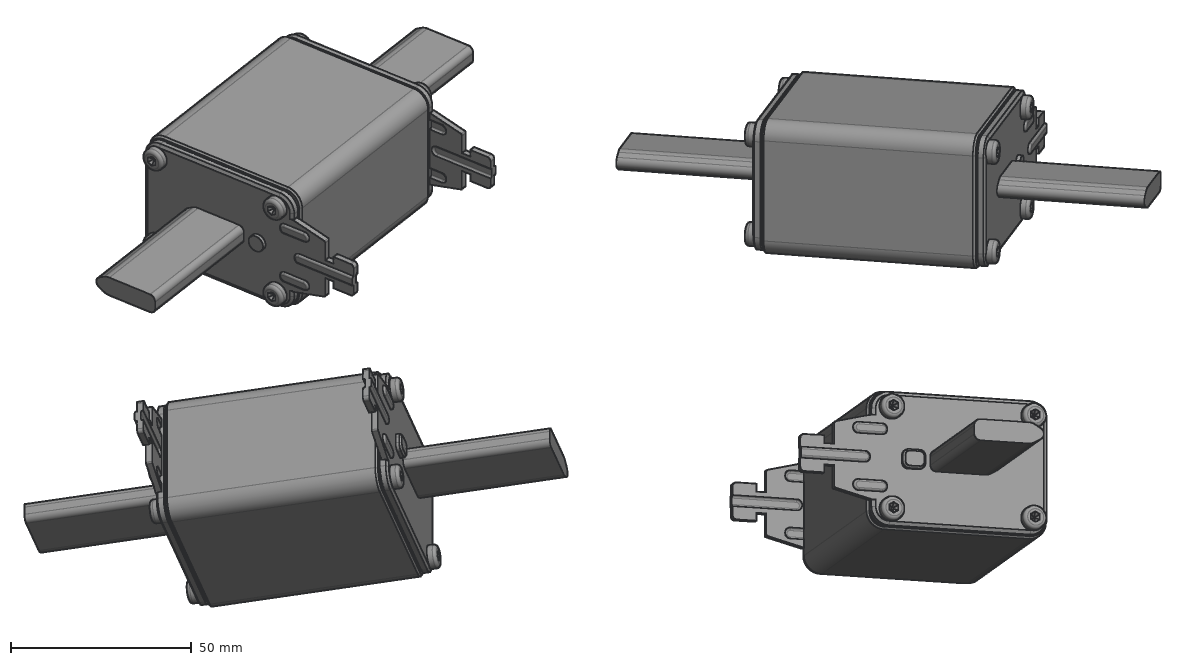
import cadquery as cq
import math


BODY_WIDTH = 51.9
BODY_HEIGHT = 39.0
BODY_HALF_LENGTH = 30.3
CORNER_RADIUS = 5.0
BODY_END_CHAMFER = 0.6

GROOVE_WIDTH = 0.6
GROOVE_INSET = 1.4

PLATE_INSET = 0.6
PLATE_THICKNESS = 2.2
PLATE_BEVEL_DEPTH = 0.6
PLATE_BEVEL_WIDTH = 1.0
PLATE_INNER_Y = BODY_HALF_LENGTH + GROOVE_WIDTH
PLATE_OUTER_Y = PLATE_INNER_Y + PLATE_THICKNESS

BLADE_HALF_LENGTH = 75.0
BLADE_LEFT = -11.5
BLADE_RIGHT = 8.5
BLADE_THICKNESS = 6.0
WEDGE_HALF_ANGLE = 30.0
NOSE_RADIUS = 1.8
SHOULDER_RADIUS = 3.6
BLADE_RIGHT_FILLET = 1.8

OVERALL_WIDTH = 72.0
LUG_THICKNESS = 1.8
LUG_ROOT_X = 25.5
LUG_ROOT_HALF_HEIGHT = 12.0
LUG_SHOULDER_X = 36.3
LUG_SHOULDER_HALF_HEIGHT = 9.3
NECK_HALF_HEIGHT = 3.0
LUG_HEAD_X = 39.2
LUG_HEAD_HALF_HEIGHT = 5.2
LUG_END_X = OVERALL_WIDTH - BODY_WIDTH / 2
LUG_HEAD_FILLET = 1.0
LUG_SHOULDER_FILLET = 0.5

RIB_WIDTH = 3.2
RIB_HEIGHT = 0.69
RIB_FILLET = 0.68
SIDE_RIB_START_X = 21.0
SIDE_RIB_END_X = 30.9
SIDE_RIB_Z = 8.1
MIDDLE_RIB_START_X = 26.0

SCREW_CENTRE_X = -0.6
SCREW_SPACING_X = 41.0
SCREW_SPACING_Z = 29.0
SCREW_DIAMETER = 6.8
SCREW_HEIGHT = 2.5
SCREW_FILLET = 1.0
SOCKET_CORNER_DIAMETER = 3.0
SOCKET_DEPTH = 1.2
SOCKET_TAPER = 40.0

INDICATOR_X = 13.5
PIN_DIAMETER = 5.0
PIN_HEIGHT = 1.2
BLOCK_WIDTH = 6.6
BLOCK_DEPTH = 5.4
BLOCK_HEIGHT = 1.6
BLOCK_CORNER_RADIUS = 1.8
BLOCK_CHAMFER = 0.6


def plane_at(y):
    """Sketch plane facing -Y at the given Y, with local axes along X and Z."""
    return cq.Workplane("XZ", origin=(0, y, 0))


def rounded_block(inset, half_length):
    """Block centred on the origin with rounded edges along Y."""
    block = plane_at(half_length).rect(BODY_WIDTH - 2 * inset, BODY_HEIGHT - 2 * inset)
    return block.extrude(2 * half_length).edges("|Y").fillet(CORNER_RADIUS)


def make_body():
    body = rounded_block(0, BODY_HALF_LENGTH)
    return body.faces("<Y or >Y").chamfer(BODY_END_CHAMFER)


def make_blade():
    """Both contact blades as one bar through the body."""
    half_thickness = BLADE_THICKNESS / 2
    apex_x = BLADE_LEFT + NOSE_RADIUS - NOSE_RADIUS / math.sin(math.radians(WEDGE_HALF_ANGLE))
    shoulder_x = apex_x + half_thickness / math.tan(math.radians(WEDGE_HALF_ANGLE))
    outline = [
        (apex_x, 0),
        (shoulder_x, half_thickness),
        (BLADE_RIGHT, half_thickness),
        (BLADE_RIGHT, -half_thickness),
        (shoulder_x, -half_thickness),
    ]
    blade = plane_at(BLADE_HALF_LENGTH).polyline(outline).close().extrude(2 * BLADE_HALF_LENGTH)
    shoulder_edges = cq.selectors.BoxSelector(
        (shoulder_x - 1.5, -1.5, -BLADE_THICKNESS), (shoulder_x + 1.5, 1.5, BLADE_THICKNESS)
    )
    blade = blade.edges(shoulder_edges).fillet(SHOULDER_RADIUS)
    blade = blade.edges("|Y and >X").fillet(BLADE_RIGHT_FILLET)
    return blade.edges("|Y and <X").fillet(NOSE_RADIUS)


def make_plate():
    """End plate on the -Y side, with the smaller spacer that forms the groove."""
    bevel_taper = math.degrees(math.atan(PLATE_BEVEL_WIDTH / PLATE_BEVEL_DEPTH))
    plate = (
        plane_at(-PLATE_INNER_Y)
        .rect(BODY_WIDTH - 2 * PLATE_INSET, BODY_HEIGHT - 2 * PLATE_INSET)
        .extrude(PLATE_THICKNESS - PLATE_BEVEL_DEPTH)
        .edges("|Y")
        .fillet(CORNER_RADIUS)
        .faces("<Y")
        .wires()
        .toPending()
        .workplane()
        .extrude(PLATE_BEVEL_DEPTH, taper=bevel_taper)
    )
    return plate.union(rounded_block(GROOVE_INSET, PLATE_INNER_Y))


def make_lug():
    upper_outline = [
        (SIDE_RIB_START_X, LUG_ROOT_HALF_HEIGHT),
        (LUG_ROOT_X, LUG_ROOT_HALF_HEIGHT),
        (LUG_SHOULDER_X, LUG_SHOULDER_HALF_HEIGHT),
        (LUG_SHOULDER_X, NECK_HALF_HEIGHT),
        (LUG_HEAD_X, NECK_HALF_HEIGHT),
        (LUG_HEAD_X, LUG_HEAD_HALF_HEIGHT),
        (LUG_END_X, LUG_HEAD_HALF_HEIGHT),
    ]
    lower_outline = [(x, -z) for x, z in reversed(upper_outline)]
    lug = (
        plane_at(-PLATE_OUTER_Y + LUG_THICKNESS)
        .polyline(upper_outline + lower_outline)
        .close()
        .extrude(LUG_THICKNESS)
    )
    lug = lug.edges("|Y and >X").fillet(LUG_HEAD_FILLET)
    shoulder_edges = cq.selectors.BoxSelector(
        (LUG_SHOULDER_X - 1.5, -BLADE_HALF_LENGTH, -LUG_ROOT_HALF_HEIGHT),
        (LUG_SHOULDER_X + 1.5, 0, LUG_ROOT_HALF_HEIGHT),
    )
    outer_shoulders = lug.edges("|Y").edges(shoulder_edges).edges("<Z or >Z")
    return outer_shoulders.fillet(LUG_SHOULDER_FILLET)


def make_rib(start_x, end_x, z):
    """Round-ended rib with rounded upper edges on the outer face of the lug."""
    rib = plane_at(-PLATE_OUTER_Y).center((start_x + end_x) / 2, z)
    rib = rib.slot2D(end_x - start_x, RIB_WIDTH).extrude(RIB_HEIGHT)
    return rib.faces("<Y").edges().fillet(RIB_FILLET)


def make_ribs():
    middle = make_rib(MIDDLE_RIB_START_X, LUG_END_X + RIB_WIDTH, 0)
    beyond_lug = plane_at(0).center(LUG_END_X + RIB_WIDTH, 0).rect(2 * RIB_WIDTH, 2 * RIB_WIDTH)
    ribs = middle.cut(beyond_lug.extrude(BLADE_HALF_LENGTH))
    for z in (-SIDE_RIB_Z, SIDE_RIB_Z):
        ribs = ribs.union(make_rib(SIDE_RIB_START_X, SIDE_RIB_END_X, z))
    return ribs


def make_screw(x, z):
    head = plane_at(-PLATE_INNER_Y).center(x, z).circle(SCREW_DIAMETER / 2)
    head = head.extrude(PLATE_THICKNESS + SCREW_HEIGHT).faces("<Y").edges().fillet(SCREW_FILLET)
    socket = (
        plane_at(-PLATE_OUTER_Y - SCREW_HEIGHT)
        .center(x, z)
        .transformed(rotate=(0, 0, 90))
        .polygon(6, SOCKET_CORNER_DIAMETER)
        .extrude(-SOCKET_DEPTH, taper=SOCKET_TAPER)
    )
    return head.cut(socket)


def make_end():
    """Everything that is the same on both ends, built on the -Y side."""
    ribs = make_ribs()
    rib_hollows = ribs.translate((0, LUG_THICKNESS, 0))
    pressed_lug = make_lug().cut(rib_hollows).union(ribs)
    end = make_plate().union(pressed_lug)
    for x_side in (-1, 1):
        for z_side in (-1, 1):
            x = SCREW_CENTRE_X + x_side * SCREW_SPACING_X / 2
            end = end.union(make_screw(x, z_side * SCREW_SPACING_Z / 2))
    return end


def make_indicator_pin():
    pin = plane_at(-PLATE_OUTER_Y).center(INDICATOR_X, 0).circle(PIN_DIAMETER / 2)
    return pin.extrude(PIN_HEIGHT)


def make_indicator_block():
    block = plane_at(PLATE_OUTER_Y).center(INDICATOR_X, 0).rect(BLOCK_WIDTH, BLOCK_DEPTH)
    block = block.extrude(-BLOCK_HEIGHT).edges("|Y").fillet(BLOCK_CORNER_RADIUS)
    return block.faces(">Y").chamfer(BLOCK_CHAMFER)


near_end = make_end()
far_end = near_end.mirror("XZ")
result = make_body().union(near_end).union(far_end).union(make_blade())
result = result.union(make_indicator_pin()).union(make_indicator_block())